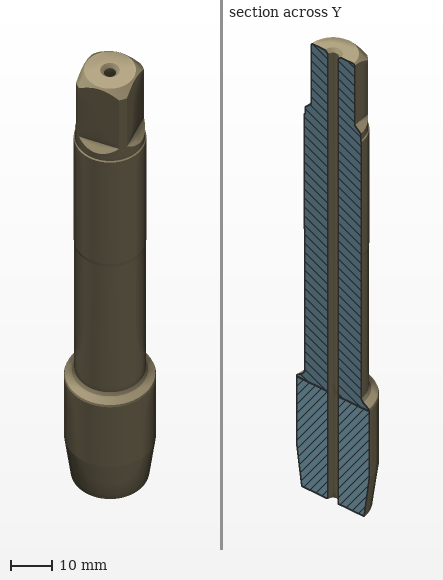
import cadquery as cq

LENGTH = 140.0
BORE_DIAMETER = 3.0

HEAD_DIAMETER = 22.4
TIP_DIAMETER = 19.2
TAPER_LENGTH = 12.9
HEAD_TOP_Z = 33.7

STEP_LENGTH = 0.8
SHOULDER_BOTTOM_DIAMETER = 22.0
SHOULDER_BOTTOM_Z = 34.3
SHOULDER_TOP_DIAMETER = 18.5
SHOULDER_TOP_Z = 35.5
NECK_DIAMETER = 17.4
NECK_END_Z = 80.4
SHANK_DIAMETER = 17.6
SHANK_END_Z = 116.8
DRIVE_STEP_LENGTH = 0.3
DRIVE_DIAMETER = 17.1

SQUARE_WIDTH = 13.5
SQUARE_START_Z = 121.0
DRIVE_TOP_DIAMETER = 12.6
DRIVE_CHAMFER_LENGTH = 2.1
CENTRE_DIAMETER = 4.8
CENTRE_DEPTH = (CENTRE_DIAMETER - BORE_DIAMETER) / 2


def revolved(profile):
    """Revolve a list of (radius, z) points, closed along the axis, about Z."""
    first_z = profile[0][1]
    last_z = profile[-1][1]
    points = [(0, first_z), *profile, (0, last_z)]
    return cq.Workplane("XZ").polyline(points).close().revolve(360, (0, 0, 0), (0, 1, 0))


def bore():
    """Coolant bore along the whole tool."""
    return cq.Workplane("XY").circle(BORE_DIAMETER / 2).extrude(LENGTH)


def make_cutting_head():
    """Tapered tip below a cylindrical head."""
    head = revolved([
        (TIP_DIAMETER / 2, 0),
        (HEAD_DIAMETER / 2, TAPER_LENGTH),
        (HEAD_DIAMETER / 2, HEAD_TOP_Z),
    ])
    return head.cut(bore())


def square_side_cut():
    """Wedge-ended block that cuts the -Y flat of the square and its 45 degree run-out."""
    flat = SQUARE_WIDTH / 2
    outside = SHANK_DIAMETER
    profile = [
        (-flat, LENGTH),
        (-flat, SQUARE_START_Z),
        (-outside, SQUARE_START_Z - (outside - flat)),
        (-outside, LENGTH),
    ]
    return cq.Workplane("YZ").polyline(profile).close().extrude(SHANK_DIAMETER / 2, both=True)


def centre_cone():
    """Countersink at the upper mouth of the bore."""
    return revolved([
        (BORE_DIAMETER / 2, LENGTH - CENTRE_DEPTH),
        (CENTRE_DIAMETER / 2, LENGTH),
    ])


def make_shank():
    """Shoulder, neck, shank and square drive, standing on the cutting head."""
    shank = revolved([
        (HEAD_DIAMETER / 2, HEAD_TOP_Z),
        (SHOULDER_BOTTOM_DIAMETER / 2, SHOULDER_BOTTOM_Z),
        (SHOULDER_TOP_DIAMETER / 2, SHOULDER_TOP_Z),
        (NECK_DIAMETER / 2, SHOULDER_TOP_Z + STEP_LENGTH),
        (NECK_DIAMETER / 2, NECK_END_Z),
        (SHANK_DIAMETER / 2, NECK_END_Z + STEP_LENGTH),
        (SHANK_DIAMETER / 2, SHANK_END_Z),
        (DRIVE_DIAMETER / 2, SHANK_END_Z + DRIVE_STEP_LENGTH),
        (DRIVE_DIAMETER / 2, LENGTH - DRIVE_CHAMFER_LENGTH),
        (DRIVE_TOP_DIAMETER / 2, LENGTH),
    ])
    side_cut = square_side_cut()
    for angle in (0, 90, 180, 270):
        shank = shank.cut(side_cut.rotate((0, 0, 0), (0, 0, 1), angle))
    return shank.cut(bore()).cut(centre_cone())


cutting_head = make_cutting_head()
shank = make_shank()

result = cq.Compound.makeCompound([cutting_head.val(), shank.val()])